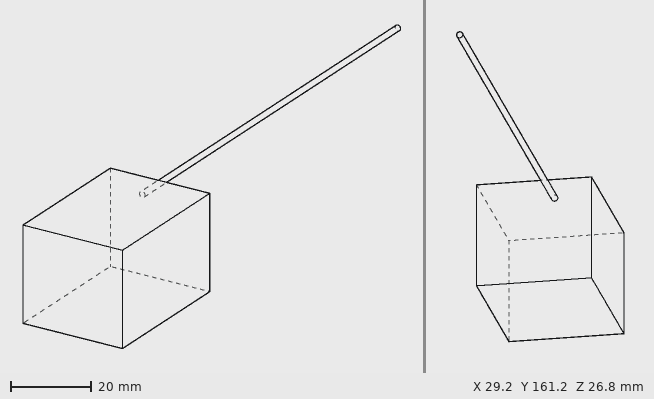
import cadquery as cq

width = 29.2
length = 161.2
height = 26.8

block_length = 41.1
rod_diameter = 1.6
rod_from_left = 9.4
rod_below_top = 5.0
rod_length = length - block_length

block = cq.Workplane("XY").box(width, block_length, height, centered=False)

rod_start = (rod_from_left, block_length, height - rod_below_top)
rod = cq.Workplane(cq.Plane(origin=rod_start, xDir=(1, 0, 0), normal=(0, 1, 0)))
rod = rod.circle(rod_diameter / 2).extrude(rod_length)

result = block.union(rod)